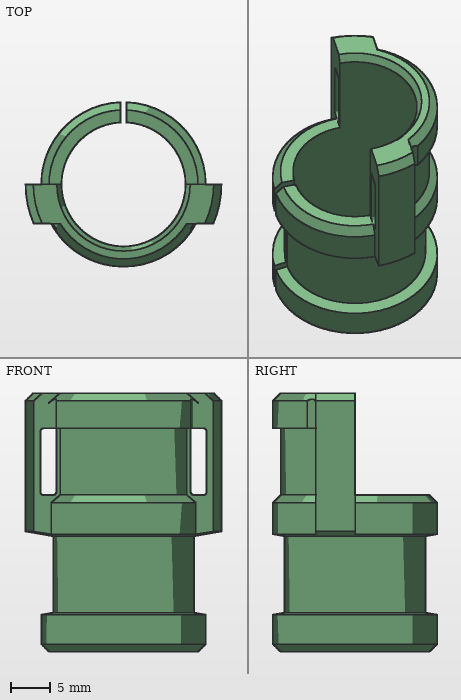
import cadquery as cq
import math

TOTAL_HEIGHT = 33.0
FLANGE_HEIGHT = 5.0
COLLAR_BOTTOM = 15.0
COLLAR_TOP = 20.0
BAND_BOTTOM = 28.5

BORE_RADIUS = 7.9
NECK_RADIUS = 9.0
UPPER_WALL_RADIUS = 9.5
RIM_RADIUS = 10.5
WING_RADIUS = 12.5

CHAMFER = 1.0
GROOVE_WALL_ANGLE = 10.0
MOUTH_RADIUS = 8.5
MOUTH_DEPTH = 1.0

WING_DEPTH = 5.0
WEB_RADIUS = 1.0

SLIT_WIDTH = 0.75

WINDOW_INNER_X = 8.55
WINDOW_OUTER_X = 10.57
WINDOW_CORNER_RADIUS = 0.4
WINDOW_INNER_RADIUS = 0.5

CLEARANCE = 1.0


def groove_rise(radius):
    """Height gained by a sloping groove wall between the neck and a radius."""
    return (radius - NECK_RADIUS) * math.tan(math.radians(GROOVE_WALL_ANGLE))


def revolved(profile):
    """Solid of revolution about Z from (radius, height) points."""
    return cq.Workplane("XZ").polyline(profile).close().revolve(360, (0, 0, 0), (0, 1, 0))


def cylinder(radius, bottom, top):
    return cq.Workplane("XY").workplane(offset=bottom).circle(radius).extrude(top - bottom)


def block(x_min, x_max, y_min, y_max, z_min, z_max):
    corner = (x_min, y_min, z_min)
    return cq.Workplane("XY").box(x_max - x_min, y_max - y_min, z_max - z_min, centered=False).translate(corner)


def make_sleeve():
    """Lower sleeve: bottom flange, neck groove and collar."""
    collar_base = COLLAR_BOTTOM - groove_rise(RIM_RADIUS)
    return revolved([
        (0, 0),
        (RIM_RADIUS - CHAMFER, 0),
        (RIM_RADIUS, CHAMFER),
        (RIM_RADIUS, FLANGE_HEIGHT - groove_rise(RIM_RADIUS)),
        (NECK_RADIUS, FLANGE_HEIGHT),
        (NECK_RADIUS, collar_base),
        (RIM_RADIUS, COLLAR_BOTTOM),
        (RIM_RADIUS, COLLAR_TOP - CHAMFER),
        (RIM_RADIUS - CHAMFER, COLLAR_TOP),
        (0, COLLAR_TOP),
    ])


def make_wings():
    """Slice of a large drum between the back plane and the wing depth."""
    collar_base = COLLAR_BOTTOM - groove_rise(RIM_RADIUS)
    drum = revolved([
        (0, collar_base),
        (NECK_RADIUS, collar_base),
        (WING_RADIUS, collar_base + groove_rise(WING_RADIUS)),
        (WING_RADIUS, TOTAL_HEIGHT - CHAMFER),
        (WING_RADIUS - CHAMFER, TOTAL_HEIGHT),
        (0, TOTAL_HEIGHT),
    ])
    slab = block(-WING_RADIUS, WING_RADIUS, -WING_DEPTH, 0, 0, TOTAL_HEIGHT)
    return drum.intersect(slab)


def make_web(side):
    """Concave web that blends one flat end of the band into the front face of the wing."""
    centre_x = WINDOW_INNER_X + WEB_RADIUS
    centre_y = -WING_DEPTH - WEB_RADIUS
    arc_offset = WEB_RADIUS * math.sqrt(0.5)
    return (
        cq.Workplane("XY")
        .workplane(offset=BAND_BOTTOM)
        .moveTo(side * centre_x, -WING_DEPTH)
        .threePointArc(
            (side * (centre_x - arc_offset), centre_y + arc_offset),
            (side * WINDOW_INNER_X, centre_y),
        )
        .lineTo(side * WINDOW_INNER_X, -WING_DEPTH)
        .close()
        .extrude(TOTAL_HEIGHT - BAND_BOTTOM)
    )


def make_half_shell():
    """Upper half wall with its top band, webs and chamfered rim."""
    wall = cylinder(UPPER_WALL_RADIUS, COLLAR_TOP, TOTAL_HEIGHT)
    band = cylinder(RIM_RADIUS, BAND_BOTTOM, TOTAL_HEIGHT)
    band_span = block(-WINDOW_INNER_X, WINDOW_INNER_X, -RIM_RADIUS, 0, BAND_BOTTOM, TOTAL_HEIGHT)
    shell = wall.union(band.intersect(band_span))
    for side in (-1, 1):
        shell = shell.union(make_web(side))

    cone_height = TOTAL_HEIGHT - COLLAR_TOP
    rim_cone = revolved([
        (0, COLLAR_TOP),
        (UPPER_WALL_RADIUS + cone_height, COLLAR_TOP),
        (UPPER_WALL_RADIUS, TOTAL_HEIGHT),
        (0, TOTAL_HEIGHT),
    ])
    front_half = block(-WING_RADIUS, WING_RADIUS, -WING_RADIUS, 0, 0, TOTAL_HEIGHT)
    return shell.intersect(rim_cone).intersect(front_half)


def make_bore():
    """Through bore that opens in a conical mouth at the top."""
    return revolved([
        (0, -CLEARANCE),
        (BORE_RADIUS, -CLEARANCE),
        (BORE_RADIUS, TOTAL_HEIGHT - MOUTH_DEPTH),
        (MOUTH_RADIUS, TOTAL_HEIGHT),
        (0, TOTAL_HEIGHT),
    ])


def make_slit():
    """Slit that splits the back of the sleeve along its full height."""
    half_width = SLIT_WIDTH / 2
    return block(-half_width, half_width, 0, RIM_RADIUS + CLEARANCE, -CLEARANCE, COLLAR_TOP + CLEARANCE)


def make_window(side):
    """Window through one wing, rounded except where it meets the band at the inner wall."""
    x_min, x_max = sorted((side * WINDOW_INNER_X, side * WINDOW_OUTER_X))
    opening = block(x_min, x_max, -WING_DEPTH, 0, COLLAR_TOP, BAND_BOTTOM)
    outer_side = ">X" if side > 0 else "<X"
    rounded = opening.faces(outer_side).edges("|Y").fillet(WINDOW_CORNER_RADIUS)
    inner_side = "<X" if side > 0 else ">X"
    return rounded.faces(inner_side).edges("<Z").fillet(WINDOW_INNER_RADIUS)


result = make_sleeve().union(make_wings()).union(make_half_shell())
result = result.cut(make_bore()).cut(make_slit())
for wing_side in (-1, 1):
    result = result.cut(make_window(wing_side))